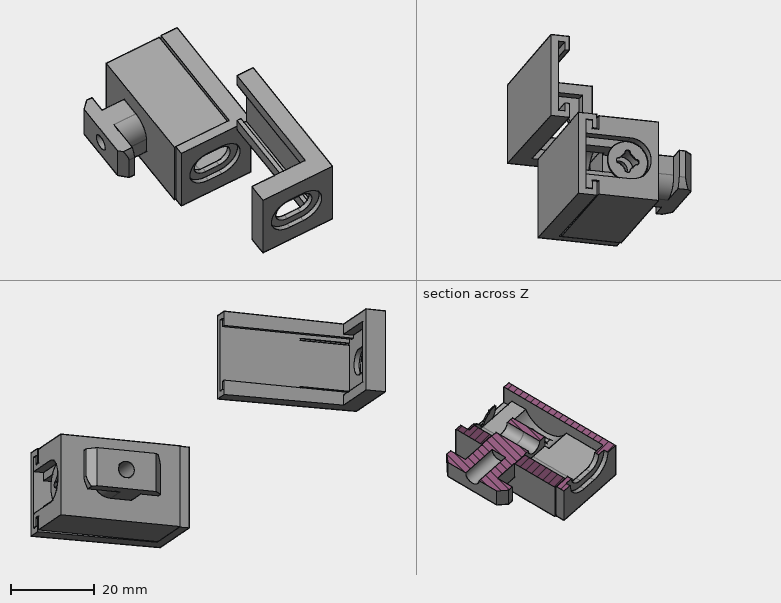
import cadquery as cq

overall_length = 80.5
overall_depth = 29.8
overall_height = 57.1

rail_length = 30.5
rail_end_height = 20.6
leg_height = 20.0
leg_depth = 19.65
web_thickness = 2.5
rim_thickness = 2.5
wall_thickness = 1.9
lip_back_y = -3.5
lip_front_y = -4.6
channel_height = 17.55
lip_opening = 13.5
cover_slot_length = 10.15
cover_slot_width = 6.35
cover_slot_y = -10.15
recess_margin = 2.0
recess_depth = 1.2
loose_cover_back_y = -6.9
groove_width = 0.5
groove_depth = 0.5
groove_length = 10.0
groove_z = 5.95

housing_height = leg_height
housing_front_y = -20.05
tongue_height = 17.3
neck_height = 13.05
shoulder_y = -5.1
screw_y = -13.0
wide_slot_width = 10.4
wide_slot_depth = 2.5
narrow_slot_width = 6.35
rear_bore_diameter = 14.0

disc_diameter = 10.0
disc_face_x = 2.1
drive_square = 3.8
drive_lobe_width = 1.4
drive_lobe_span = 5.6

anchor_x = 13.05
anchor_height = 9.4
head_length = 19.1
head_turning_diameter = 19.5
head_thickness = 3.55
head_chamfer = 2.0
stem_width = 10.0
block_front_y = -16.9
stem_back_y = -8.45
face_hole_diameter = 4.0
face_hole_depth = 10.0
cross_hole_diameter = 4.2
cross_hole_y = -12.55


def box(x0, x1, y0, y1, z0, z1):
    return cq.Workplane("XY").box(x1 - x0, y1 - y0, z1 - z0, centered=False).translate((x0, y0, z0))


def tall_box(x0, x1, y0, y1, height):
    """Box centred on Z = 0."""
    return box(x0, x1, y0, y1, -height / 2, height / 2)


def slot_along_x(x0, x1, y, length, width):
    """Round-ended slot through X, its long axis along Y."""
    return (
        cq.Workplane("YZ", origin=(x0, y, 0))
        .slot2D(length, width)
        .extrude(x1 - x0)
    )


def open_slot_along_x(x0, x1, width):
    """Slot with a round end about the drive axis, open towards the back."""
    round_end = cq.Workplane("YZ", origin=(x0, screw_y, 0)).circle(width / 2).extrude(x1 - x0)
    return round_end.union(tall_box(x0, x1, screw_y, 0, width))


def make_cover(rim):
    """L-shaped cover; a rim above zero adds a frame around the inside of the leg."""
    web_x = rail_length + rim
    end_x = web_x + web_thickness
    cover = (
        cq.Workplane("XZ")
        .polyline([
            (0, -rail_end_height / 2),
            (end_x, -leg_height / 2),
            (end_x, leg_height / 2),
            (0, rail_end_height / 2),
        ])
        .close()
        .extrude(leg_depth)
        .cut(tall_box(0, rail_length, -leg_depth, lip_front_y, rail_end_height))
    )

    cover = cover.cut(tall_box(0, web_x, lip_back_y, -wall_thickness, channel_height))
    cover = cover.cut(tall_box(0, web_x, lip_front_y, lip_back_y, lip_opening))

    cover = cover.cut(slot_along_x(web_x, end_x, cover_slot_y, cover_slot_length, cover_slot_width))
    recess_length = cover_slot_length + 2 * recess_margin
    recess_width = cover_slot_width + 2 * recess_margin
    cover = cover.cut(slot_along_x(end_x - recess_depth, end_x, cover_slot_y, recess_length, recess_width))

    if rim > 0:
        pocket_height = leg_height - 2 * rim
        cover = cover.cut(tall_box(rail_length, web_x, rim - leg_depth, lip_front_y, pocket_height))
        for z in (-groove_z, groove_z):
            cover = cover.cut(box(
                rail_length - groove_length, web_x,
                -wall_thickness, groove_depth - wall_thickness,
                z - groove_width / 2, z + groove_width / 2,
            ))
    return cover


def make_block():
    """Rectangular rear end of the stem."""
    half_width = stem_width / 2
    return tall_box(
        anchor_x - half_width, anchor_x + half_width, block_front_y, stem_back_y, anchor_height
    )


def make_stem():
    """Whole stem; ahead of the block, two opposite corners are fully rounded."""
    corner_radius = anchor_height / 2
    half_width = stem_width / 2
    stem = tall_box(
        anchor_x - half_width, anchor_x + half_width, -overall_depth, block_front_y, anchor_height
    )
    stem = stem.edges(">X and >Z").fillet(corner_radius)
    stem = stem.edges("<X and <Z").fillet(corner_radius)
    return stem.union(make_block())


def make_anchor():
    front_y = -overall_depth
    back_y = front_y + head_thickness
    half_length = head_length / 2
    half_height = anchor_height / 2
    head = (
        cq.Workplane("XY")
        .box(head_length, head_thickness, anchor_height)
        .faces("<Y").edges("|Z").chamfer(head_chamfer)
        .translate((anchor_x, front_y + head_thickness / 2, 0))
    )

    turning_radius = head_turning_diameter / 2
    turning = cq.Workplane("XZ", origin=(anchor_x, back_y, 0)).circle(turning_radius).extrude(head_thickness)
    left_x = anchor_x - half_length
    right_x = anchor_x + half_length
    square = box(left_x, anchor_x, front_y, back_y, 0, half_height)
    square = square.union(box(anchor_x, right_x, front_y, back_y, -half_height, 0))
    head = head.intersect(turning.union(square))
    anchor = head.union(make_stem())

    face_hole = cq.Workplane("XZ", origin=(anchor_x, front_y, 0)).circle(face_hole_diameter / 2)
    anchor = anchor.cut(face_hole.extrude(-face_hole_depth))
    cross_hole = cq.Workplane("YZ", origin=(anchor_x, cross_hole_y, 0)).circle(cross_hole_diameter / 2)
    return anchor.cut(cross_hole.extrude(stem_width, both=True))


def make_housing():
    housing = tall_box(0, rail_length, housing_front_y, shoulder_y, housing_height)
    housing = housing.union(tall_box(0, rail_length, shoulder_y, lip_back_y, neck_height))
    housing = housing.union(tall_box(0, rail_length, lip_back_y, -wall_thickness, tongue_height))
    housing = housing.cut(open_slot_along_x(0, wide_slot_depth, wide_slot_width))
    housing = housing.cut(open_slot_along_x(0, rail_length, narrow_slot_width))
    rear_bore = cq.Workplane("XZ", origin=(anchor_x, 0, 0)).circle(rear_bore_diameter / 2)
    housing = housing.cut(rear_bore.extrude(-stem_back_y))
    return housing.cut(make_stem())


def make_disc():
    """Thin disc with a square drive opening standing on its corner, a lobe at each corner."""
    thickness = wide_slot_depth - disc_face_x
    plane = cq.Workplane("YZ", origin=(disc_face_x, screw_y, 0))
    disc = plane.circle(disc_diameter / 2).extrude(thickness)
    drive = plane.transformed(rotate=(0, 0, 45)).rect(drive_square, drive_square).extrude(thickness)
    for angle in (0, 90):
        drive = drive.union(plane.slot2D(drive_lobe_span, drive_lobe_width, angle).extrude(thickness))
    return disc.cut(drive)


fitted_cover = make_cover(0)
loose_cover = make_cover(rim_thickness).translate((
    overall_length - rail_length - rim_thickness - web_thickness,
    loose_cover_back_y,
    overall_height - rail_end_height,
))
housing = make_housing()
anchor = make_anchor()
disc = make_disc()
result = cq.Compound.makeCompound([
    fitted_cover.val(), loose_cover.val(), housing.val(), anchor.val(), disc.val(),
])